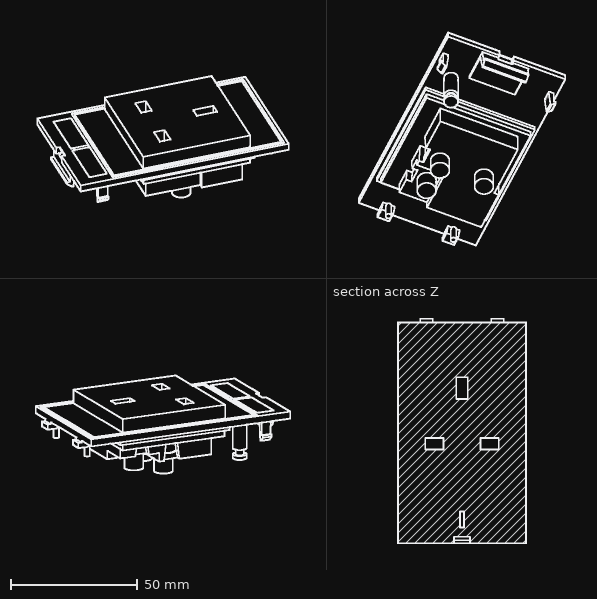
import cadquery as cq
import math

OVERLAP = 0.45

PLATE_WIDTH = 50.7
PLATE_LENGTH = 87.6
PLATE_THICKNESS = 2.9

FRAME_WIDTH = 47.9
FRAME_FRONT = 14.0
FRAME_BACK = 86.15
GROOVE_WIDTH = 0.9
GROOVE_DEPTH = 0.2

LABEL_WIDTH = 42.0
LABEL_FRONT = 5.25
LABEL_BACK = 12.6
LABEL_DEPTH = 0.1
SLOT_WIDTH = 1.5
SLOT_DEPTH = 2.1
SLOT_FRONT = 6.4

NOTCH_WIDTH = 6.2
NOTCH_DEPTH = 1.5
NOTCH_LIP = 0.6
NOTCH_UNDERCUT_DEPTH = 3.0
NOTCH_UNDERCUT_Z = 1.7
NOTCH_BOTTOM_Z = -1.0

SOCKET_SIZE = 45.0
SOCKET_FRONT = 27.3
SOCKET_BACK = SOCKET_FRONT + SOCKET_SIZE
SOCKET_HEIGHT = 5.6
SOCKET_TOP = PLATE_THICKNESS + SOCKET_HEIGHT
PIN_DEPTH = 12.5
PIN_SHORT = 4.45
EARTH_PIN_LENGTH = 8.5
EARTH_PIN_Y = 61.5
LINE_PIN_LENGTH = 7.1
LINE_PIN_X = 10.95
LINE_PIN_Y = 39.5

FLANGE_WIDTH = 47.35
FLANGE_FRONT = 25.9
FLANGE_BACK = 73.9
FLANGE_BOTTOM = -1.8
STEP_FRONT = 27.6
STEP_BOTTOM = -4.45

HOUSING_LEFT = -15.5
HOUSING_RIGHT = 18.1
HOUSING_FRONT = 30.0
HOUSING_BACK = 70.0
HOUSING_BOTTOM = -13.5
REAR_FRONT = 52.95
REAR_RIB_RIGHT = 19.9
REAR_CUT_TOP = -10.0
REAR_CUT_RIGHT = -3.6

SLEEVE_DIAMETER = 7.5
LEFT_SLEEVE_X = -7.9
RIGHT_SLEEVE_X = 11.1
FRONT_SLEEVE_Y = 47.4
REAR_SLEEVE_Y = 60.4
FRONT_SLEEVE_BOTTOM = -20.1
REAR_SLEEVE_BOTTOM = -17.1
CHANNEL_DEPTH = 1.9
CHANNEL_TOP_WIDTH = 4.5
CHANNEL_BOTTOM_WIDTH = 6.8
POCKET_DEPTH = 0.45
POCKET_SIDE_Z = -10.2
POCKET_LOW_Z = -11.2

SCREW_X = -16.2
SCREW_Y = 17.9
PILLAR_DIAMETER = 5.6
PILLAR_BOTTOM = -12.3
NECK_DIAMETER = 3.3
HEAD_TOP = -14.8
HEAD_RIM = -16.3
HEAD_BOTTOM = -17.1

CLIP_THICKNESS = 2.1
CLIP_TIP_INSET = 0.6
CLIP_SHOULDER = -5.6
CLIP_BARB_BOTTOM = -6.5
CLIP_BOTTOM = -8.3
FRONT_CLIP_EDGE = 1.25
FRONT_CLIP_BARB = 1.25
FRONT_CLIP_WIDTH = 19.9
FRONT_CLIP_TIP_WIDTH = 18.6
FRONT_FOOT_BACK = 14.3
FRONT_FOOT_HEIGHT = 0.9
SIDE_CLIP_EDGE = 23.9
SIDE_CLIP_BARB = 0.9
SIDE_CLIP_WIDTH = 3.9
SIDE_CLIP_Y = 10.0

HOOK_X = 14.1
HOOK_WIDTH = 5.1
HOOK_TIP_Y = 89.0
HOOK_GAP = 0.8
HOOK_BOTTOM = -2.9
HOOK_ROOT_Y = 83.4
HOOK_HEEL_Y = 84.9
POST_DIAMETER = 2.2
POST_Y = 83.9
POST_BOTTOM = -7.4


def span_box(x, y, z):
    """Box between the given (low, high) limits on each axis."""
    size = [high - low for low, high in (x, y, z)]
    return cq.Workplane("XY").box(*size, centered=False).translate((x[0], y[0], z[0]))


def centred(width):
    return (-width / 2, width / 2)


def rod(x, y, diameter, bottom, top):
    return cq.Workplane("XY", origin=(x, y, bottom)).circle(diameter / 2).extrude(top - bottom)


def side_profile(points, width, x=0.0):
    """Outline of (Y, Z) points extruded along X and centred on x."""
    return cq.Workplane("YZ").polyline(points).close().extrude(width / 2, both=True).translate((x, 0, 0))


def plate():
    body = span_box(centred(PLATE_WIDTH), (0, PLATE_LENGTH), (0, PLATE_THICKNESS))

    groove_z = (PLATE_THICKNESS - GROOVE_DEPTH, PLATE_THICKNESS)
    groove = span_box(centred(FRAME_WIDTH), (FRAME_FRONT, FRAME_BACK), groove_z)
    island = span_box(
        centred(FRAME_WIDTH - 2 * GROOVE_WIDTH),
        (FRAME_FRONT + GROOVE_WIDTH, FRAME_BACK - GROOVE_WIDTH),
        groove_z,
    )

    label = span_box(
        centred(LABEL_WIDTH),
        (LABEL_FRONT, LABEL_BACK),
        (PLATE_THICKNESS - LABEL_DEPTH, PLATE_THICKNESS),
    )
    slot = span_box(
        centred(SLOT_WIDTH),
        (SLOT_FRONT, LABEL_BACK),
        (PLATE_THICKNESS - SLOT_DEPTH, PLATE_THICKNESS),
    )
    bridge = span_box(
        centred(SLOT_WIDTH),
        (LABEL_FRONT, SLOT_FRONT),
        (PLATE_THICKNESS - LABEL_DEPTH, PLATE_THICKNESS),
    )
    return body.cut(groove.cut(island)).cut(label.cut(bridge)).cut(slot)


def pry_notch():
    return side_profile(
        [
            (0, PLATE_THICKNESS),
            (NOTCH_DEPTH, PLATE_THICKNESS),
            (NOTCH_DEPTH, PLATE_THICKNESS - NOTCH_LIP),
            (NOTCH_UNDERCUT_DEPTH, NOTCH_UNDERCUT_Z),
            (FRONT_CLIP_EDGE, NOTCH_BOTTOM_Z),
            (0, NOTCH_BOTTOM_Z),
        ],
        NOTCH_WIDTH,
    )


def socket_block():
    return span_box(
        centred(SOCKET_SIZE),
        (SOCKET_FRONT, SOCKET_BACK),
        (PLATE_THICKNESS - OVERLAP, SOCKET_TOP),
    )


def pin_holes():
    top = cq.Workplane("XY", origin=(0, 0, SOCKET_TOP))
    earth = top.center(0, EARTH_PIN_Y).rect(PIN_SHORT, EARTH_PIN_LENGTH).extrude(-PIN_DEPTH)
    lines = (
        top.pushPoints([(-LINE_PIN_X, LINE_PIN_Y), (LINE_PIN_X, LINE_PIN_Y)])
        .rect(LINE_PIN_LENGTH, PIN_SHORT)
        .extrude(-PIN_DEPTH)
    )
    return earth.union(lines)


def flanges():
    upper = span_box(centred(FLANGE_WIDTH), (FLANGE_FRONT, FLANGE_BACK), (FLANGE_BOTTOM, OVERLAP))
    lower = span_box(centred(SOCKET_SIZE), (STEP_FRONT, SOCKET_BACK), (STEP_BOTTOM, OVERLAP))
    return upper.union(lower)


def access_channel(y):
    """Tapered recess in the left wall, deeper above a curved lower edge."""
    top = CHANNEL_TOP_WIDTH / 2
    bottom = CHANNEL_BOTTOM_WIDTH / 2

    def tapered(depth):
        outline = [
            (-top, STEP_BOTTOM),
            (top, STEP_BOTTOM),
            (bottom, HOUSING_BOTTOM),
            (-bottom, HOUSING_BOTTOM),
        ]
        return cq.Workplane("YZ").polyline(outline).close().extrude(depth)

    above_arc = (
        cq.Workplane("YZ")
        .moveTo(-bottom, STEP_BOTTOM)
        .lineTo(-bottom, POCKET_SIDE_Z)
        .threePointArc((0, POCKET_LOW_Z), (bottom, POCKET_SIDE_Z))
        .lineTo(bottom, STEP_BOTTOM)
        .close()
        .extrude(CHANNEL_DEPTH + POCKET_DEPTH)
    )
    pocket = tapered(CHANNEL_DEPTH + POCKET_DEPTH).intersect(above_arc)
    return tapered(CHANNEL_DEPTH).union(pocket).translate((HOUSING_LEFT, y, 0))


def terminal_housing():
    height = (HOUSING_BOTTOM, STEP_BOTTOM + OVERLAP)
    body = span_box((HOUSING_LEFT, HOUSING_RIGHT), (HOUSING_FRONT, HOUSING_BACK), height)
    rib = span_box((HOUSING_RIGHT - OVERLAP, REAR_RIB_RIGHT), (REAR_FRONT, HOUSING_BACK), height)
    rear_cut = span_box(
        (HOUSING_LEFT, REAR_CUT_RIGHT),
        (REAR_FRONT, HOUSING_BACK),
        (HOUSING_BOTTOM, REAR_CUT_TOP),
    )
    body = body.union(rib).cut(rear_cut)
    for y in (FRONT_SLEEVE_Y, REAR_SLEEVE_Y):
        body = body.cut(access_channel(y))

    for x in (LEFT_SLEEVE_X, RIGHT_SLEEVE_X):
        body = body.union(
            rod(x, FRONT_SLEEVE_Y, SLEEVE_DIAMETER, FRONT_SLEEVE_BOTTOM, HOUSING_BOTTOM + OVERLAP)
        )
    return body.union(
        rod(LEFT_SLEEVE_X, REAR_SLEEVE_Y, SLEEVE_DIAMETER, REAR_SLEEVE_BOTTOM, REAR_CUT_TOP + OVERLAP)
    )


def screw():
    """Pillar, neck and domed head revolved about the screw axis."""
    pillar = PILLAR_DIAMETER / 2
    neck = NECK_DIAMETER / 2
    dome_height = HEAD_RIM - HEAD_BOTTOM
    dome_radius = (pillar**2 + dome_height**2) / (2 * dome_height)
    middle = pillar / 2
    middle_z = HEAD_BOTTOM + dome_radius - math.sqrt(dome_radius**2 - middle**2)
    return (
        cq.Workplane("XZ")
        .moveTo(0, OVERLAP)
        .lineTo(pillar, OVERLAP)
        .lineTo(pillar, PILLAR_BOTTOM)
        .lineTo(neck, PILLAR_BOTTOM)
        .lineTo(neck, HEAD_TOP)
        .lineTo(pillar, HEAD_TOP)
        .lineTo(pillar, HEAD_RIM)
        .threePointArc((middle, middle_z), (0, HEAD_BOTTOM))
        .close()
        .revolve(360, (0, 0, 0), (0, 1, 0))
        .translate((SCREW_X, SCREW_Y, 0))
    )


def snap_clip(barb, width):
    """Clip whose outer face is at Y = 0 and whose barb points to -Y."""
    tip = CLIP_THICKNESS - CLIP_TIP_INSET
    return side_profile(
        [
            (0, OVERLAP),
            (CLIP_THICKNESS, OVERLAP),
            (CLIP_THICKNESS, FLANGE_BOTTOM),
            (tip, CLIP_BOTTOM),
            (tip - CLIP_TIP_INSET, CLIP_BOTTOM),
            (-barb, CLIP_BARB_BOTTOM),
            (-barb, CLIP_SHOULDER),
            (0, CLIP_SHOULDER),
        ],
        width,
    )


def front_clip():
    root = FRONT_CLIP_WIDTH / 2
    tip = FRONT_CLIP_TIP_WIDTH / 2
    taper = (
        cq.Workplane("XZ")
        .moveTo(-root, OVERLAP)
        .lineTo(root, OVERLAP)
        .lineTo(root, 0)
        .lineTo(tip, CLIP_BOTTOM)
        .lineTo(-tip, CLIP_BOTTOM)
        .lineTo(-root, 0)
        .close()
        .extrude(FRONT_FOOT_BACK, both=True)
    )
    clip = snap_clip(FRONT_CLIP_BARB, FRONT_CLIP_WIDTH).translate((0, FRONT_CLIP_EDGE, 0))
    foot = span_box(
        centred(FRONT_CLIP_WIDTH),
        (FRONT_CLIP_EDGE, FRONT_FOOT_BACK),
        (-FRONT_FOOT_HEIGHT, OVERLAP),
    )
    return clip.union(foot).intersect(taper)


def side_clips():
    left = (
        snap_clip(SIDE_CLIP_BARB, SIDE_CLIP_WIDTH)
        .rotate((0, 0, 0), (0, 0, 1), -90)
        .translate((-SIDE_CLIP_EDGE, SIDE_CLIP_Y, 0))
    )
    return left.union(left.mirror("YZ"))


def rear_hook(x):
    hook = side_profile(
        [
            (HOOK_ROOT_Y, 0),
            (HOOK_ROOT_Y, OVERLAP),
            (PLATE_LENGTH, OVERLAP),
            (PLATE_LENGTH, -HOOK_GAP),
            (HOOK_TIP_Y, -HOOK_GAP),
            (HOOK_TIP_Y, HOOK_BOTTOM),
            (HOOK_HEEL_Y, HOOK_BOTTOM),
        ],
        HOOK_WIDTH,
        x,
    )
    return hook.union(rod(x, POST_Y, POST_DIAMETER, POST_BOTTOM, OVERLAP))


result = plate().union(socket_block()).union(flanges()).union(terminal_housing()).cut(pin_holes())
result = result.union(screw()).union(front_clip()).union(side_clips())
for hook_x in (-HOOK_X, HOOK_X):
    result = result.union(rear_hook(hook_x))
result = result.cut(pry_notch())